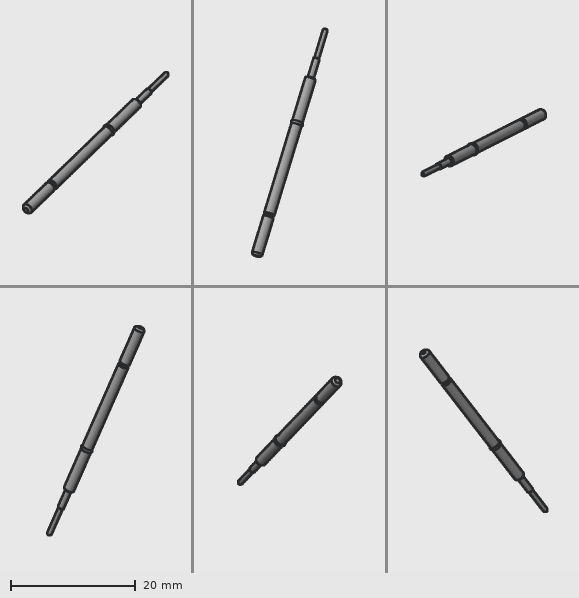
import cadquery as cq

length = 38.7
tail_y = -length / 2
tip_y = length / 2

barrel_radius = 1.75 / 2
barrel_end_y = tip_y - 8.32
barrel_chamfer = 0.15
tail_length = 0.43
tail_flat_radius = 0.43
tail_arc_radius = 0.58

groove_center_y = tail_y + 6.9
groove_width = 0.58
groove_depth = 0.2

collar_radius = 1.0
collar_center_y = tip_y - 16.05
collar_width = 0.5

guide_radius = 1.05 / 2
guide_end_y = tip_y - 5.0
guide_chamfer = 0.08
pin_radius = 0.8 / 2
tip_length = 0.4
tip_flat_radius = 0.25
tip_arc_radius = 0.55


def revolve_about_y(outline):
    """Close a half outline and turn it a full circle about the part's long axis."""
    return outline.close().revolve(360, (0, 0, 0), (0, 1, 0))


def make_barrel():
    """Barrel with a domed tail and a chamfered plunger end."""
    outline = (
        cq.Workplane("XY")
        .moveTo(0, tail_y)
        .lineTo(tail_flat_radius, tail_y)
        .radiusArc((barrel_radius, tail_y + tail_length), -tail_arc_radius)
        .lineTo(barrel_radius, barrel_end_y - barrel_chamfer)
        .lineTo(barrel_radius - barrel_chamfer, barrel_end_y)
        .lineTo(0, barrel_end_y)
    )
    return revolve_about_y(outline)


def make_groove_cutter():
    """Ring with a V-shaped inner side that cuts the barrel groove."""
    half_width = groove_width / 2
    outline = (
        cq.Workplane("XY")
        .moveTo(barrel_radius, groove_center_y - half_width)
        .lineTo(barrel_radius - groove_depth, groove_center_y)
        .lineTo(barrel_radius, groove_center_y + half_width)
    )
    return revolve_about_y(outline)


def make_collar():
    """Solid disc with a crowned rim."""
    half_width = collar_width / 2
    outline = (
        cq.Workplane("XY")
        .moveTo(0, collar_center_y - half_width)
        .lineTo(barrel_radius, collar_center_y - half_width)
        .threePointArc(
            (collar_radius, collar_center_y),
            (barrel_radius, collar_center_y + half_width),
        )
        .lineTo(0, collar_center_y + half_width)
    )
    return revolve_about_y(outline)


def make_plunger():
    """Stepped plunger ending in a rounded tip with a small flat."""
    outline = (
        cq.Workplane("XY")
        .moveTo(0, barrel_end_y)
        .lineTo(guide_radius, barrel_end_y)
        .lineTo(guide_radius, guide_end_y - guide_chamfer)
        .lineTo(guide_radius - guide_chamfer, guide_end_y)
        .lineTo(pin_radius, guide_end_y)
        .lineTo(pin_radius, tip_y - tip_length)
        .radiusArc((tip_flat_radius, tip_y), -tip_arc_radius)
        .lineTo(0, tip_y)
    )
    return revolve_about_y(outline)


result = make_barrel().cut(make_groove_cutter()).union(make_collar()).union(make_plunger())